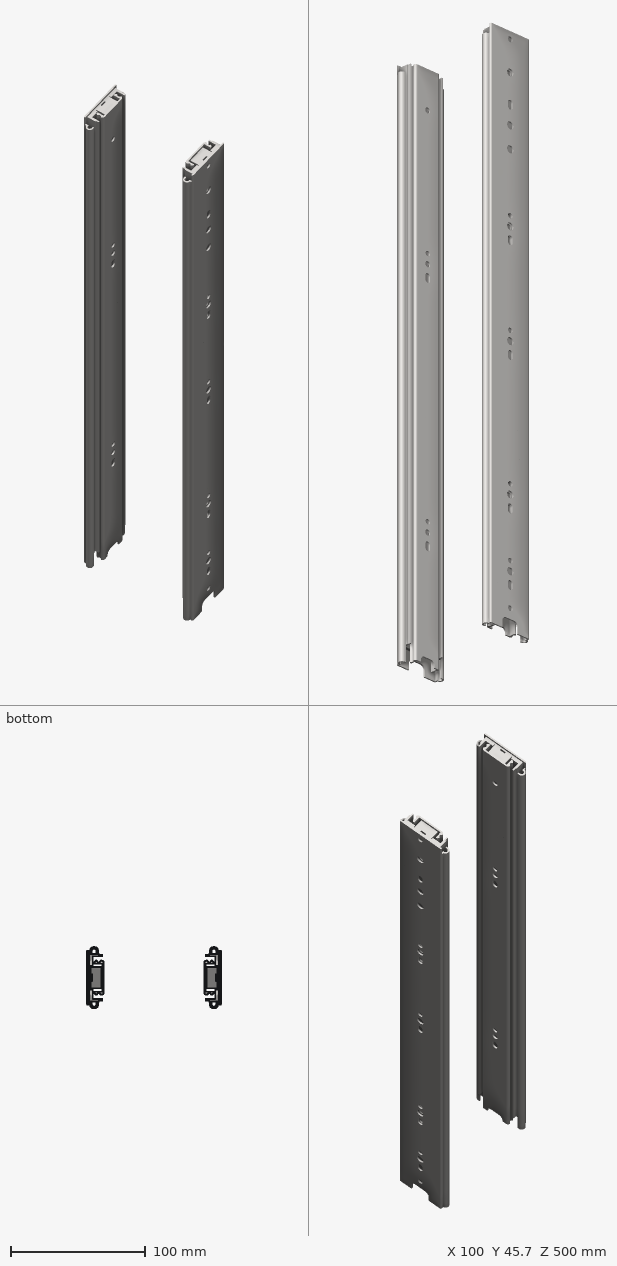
import cadquery as cq
import math

pair_width = 100.0
slide_height = 45.7
slide_depth = 12.7
slide_length = 500.0
wall = 1.3
half_height = slide_height / 2

shoulder_y = 20.2
outer_bend = 1.3
race_radius = 3.0
race_center_x = 5.5
race_center_y = half_height - race_radius
race_end_x = race_center_x + race_radius
race_lip_y = 18.4
flange_length = 492.0
outer_notch_half_width = 8.2
outer_notch_height = 9.5

middle_back_x = 1.6
middle_side_x = 4.6
middle_side_y = 8.6
middle_front_x = 11.6
middle_half_height = 17.8
middle_ledge_x = 9.0
middle_lip_y = 17.1
middle_flange_inner_y = middle_lip_y - wall
middle_bottom = 15.5
middle_top = 498.8

stop_back_x = middle_back_x + wall
stop_front_x = 11.0
stop_half_width = 8.0
stop_length = 15.0
stop_relief_half_width = 2.4
stop_relief_depth = 1.2

inner_back_x = 5.6
inner_half_height = 12.8
inner_corner = 2.0
groove_end_x = 9.5
groove_start_x = 8.3
ridge_x = 7.1
groove_depth = 1.2
inner_groove_y = inner_half_height - groove_depth
inner_wall_y = inner_groove_y - wall
inner_bottom = 3.0
inner_notch_half_width = 7.2
inner_notch_top = 8.5
notch_corner = 4.0

screw_hole = 6.4
clear_hole = 5.0
small_hole = 4.4
end_hole = 4.6
slot_width = 4.6
slot_length = 8.0
small_hole_rise = 9.0
slot_drop = 11.5
blind_group_heights = (49.3, 241.3)
through_group_heights = (113.3, 337.0)
single_hole_heights = (401.3, 421.2)
through_hole_height = 465.3
single_slot_height = 438.5
end_hole_heights = (18.5, 493.0)


def mirrored_bar(half_profile, bottom, top):
    """Extrude a half profile (y >= 0) upward and join it with its mirror image."""
    half = half_profile.close().extrude(top - bottom)
    return half.union(half.mirror("XZ")).translate((0, 0, bottom))


def centered_block(start_x, end_x, half_width, bottom, top):
    """Block between two depths and two heights, centred across the slide."""
    block = cq.Workplane("XY").box(
        end_x - start_x, 2 * half_width, top - bottom, centered=(False, True, False)
    )
    return block.translate((start_x, 0, bottom))


def round_cut(diameter, height):
    """Cutter for a round hole across the depth of the slide."""
    return cq.Workplane("YZ").center(0, height).circle(diameter / 2).extrude(slide_depth)


def slot_cut(height):
    """Cutter for an upright slot across the depth of the slide."""
    sketch = cq.Workplane("YZ").center(0, height).slot2D(slot_length, slot_width, 90)
    return sketch.extrude(slide_depth)


def notch_cut(half_width, top):
    """Cutter for a notch with rounded upper corners in the lower end of a member."""
    cutter = centered_block(0, slide_depth, half_width, 0, top)
    return cutter.edges("|X and >Z").fillet(notch_corner)


def cut_group(member, height, screw_diameter):
    """Cut a small hole, a screw hole and a slot, one below the other."""
    member = member.cut(round_cut(small_hole, height + small_hole_rise))
    member = member.cut(round_cut(screw_diameter, height))
    return member.cut(slot_cut(height - slot_drop))


def cut_clear_holes(member):
    """Cut the openings that line up with those of the outer member."""
    for height in through_group_heights:
        member = cut_group(member, height, clear_hole)
    return member.cut(round_cut(clear_hole, through_hole_height))


def outer_bar():
    """Web, corner bends and ball races, with the races cut short at the upper end."""
    bend_center_y = shoulder_y - outer_bend
    bend_middle = outer_bend * (1 - math.sqrt(0.5))
    race_inner_radius = race_radius - wall
    race_inner_end_x = race_center_x + race_inner_radius
    race_start_x = race_center_x - math.sqrt(race_radius**2 - (shoulder_y - race_center_y) ** 2)
    profile = (
        cq.Workplane("XY")
        .lineTo(0, bend_center_y)
        .threePointArc((bend_middle, shoulder_y - bend_middle), (outer_bend, shoulder_y))
        .lineTo(race_start_x, shoulder_y)
        .radiusArc((race_center_x, half_height), race_radius)
        .radiusArc((race_end_x, race_center_y), race_radius)
        .lineTo(race_end_x, race_lip_y)
        .lineTo(race_inner_end_x, race_lip_y)
        .lineTo(race_inner_end_x, race_center_y)
        .threePointArc(
            (race_center_x, race_center_y + race_inner_radius),
            (race_center_x - race_inner_radius, race_center_y),
        )
        .lineTo(race_center_x - race_inner_radius, shoulder_y - wall)
        .lineTo(wall, shoulder_y - wall)
        .lineTo(wall, 0)
    )
    bar = mirrored_bar(profile, 0, slide_length)
    return bar.cut(centered_block(wall, slide_depth, slide_height, flange_length, slide_length))


def make_outer():
    outer = outer_bar().cut(notch_cut(outer_notch_half_width, outer_notch_height))
    for height in blind_group_heights + through_group_heights:
        outer = cut_group(outer, height, screw_hole)
    for height in single_hole_heights + (through_hole_height,):
        outer = outer.cut(round_cut(screw_hole, height))
    for height in end_hole_heights:
        outer = outer.cut(round_cut(end_hole, height))
    return outer.cut(slot_cut(single_slot_height))


def middle_bar():
    """Channel with a thin centre strip and thicker sides."""
    profile = (
        cq.Workplane("XY")
        .moveTo(middle_back_x, 0)
        .lineTo(middle_back_x, middle_half_height)
        .lineTo(middle_ledge_x, middle_half_height)
        .lineTo(middle_ledge_x, middle_lip_y)
        .lineTo(middle_front_x, middle_lip_y)
        .lineTo(middle_front_x, middle_flange_inner_y)
        .lineTo(middle_side_x, middle_flange_inner_y)
        .lineTo(middle_side_x, middle_side_y)
        .lineTo(middle_back_x + wall, middle_side_y)
        .lineTo(middle_back_x + wall, 0)
    )
    return mirrored_bar(profile, middle_bottom, middle_top)


def stop_block():
    """Block that fills the inner channel at the top, relieved along its back."""
    bottom = middle_top - stop_length
    block = centered_block(stop_back_x, stop_front_x, stop_half_width, bottom, middle_top)
    relief_end_x = stop_back_x + stop_relief_depth
    return block.cut(
        centered_block(stop_back_x, relief_end_x, stop_relief_half_width, bottom, middle_top)
    )


def make_middle():
    return cut_clear_holes(middle_bar().union(stop_block()))


def make_inner():
    profile = (
        cq.Workplane("XY")
        .moveTo(slide_depth, 0)
        .lineTo(slide_depth, inner_half_height - inner_corner)
        .radiusArc((slide_depth - inner_corner, inner_half_height), -inner_corner)
        .lineTo(groove_end_x, inner_groove_y)
        .lineTo(groove_start_x, inner_groove_y)
        .lineTo(ridge_x, inner_half_height)
        .lineTo(inner_back_x, inner_groove_y)
        .lineTo(inner_back_x, inner_wall_y)
        .lineTo(slide_depth - wall, inner_wall_y)
        .lineTo(slide_depth - wall, 0)
    )
    inner = mirrored_bar(profile, inner_bottom, slide_length)
    inner = inner.cut(notch_cut(inner_notch_half_width, inner_notch_top))
    return cut_clear_holes(inner)


bodies = []
for member in (make_outer(), make_middle(), make_inner()):
    left = member.translate((-pair_width / 2, 0, 0))
    right = left.mirror("YZ")
    bodies += left.solids().vals() + right.solids().vals()

result = cq.Compound.makeCompound(bodies)